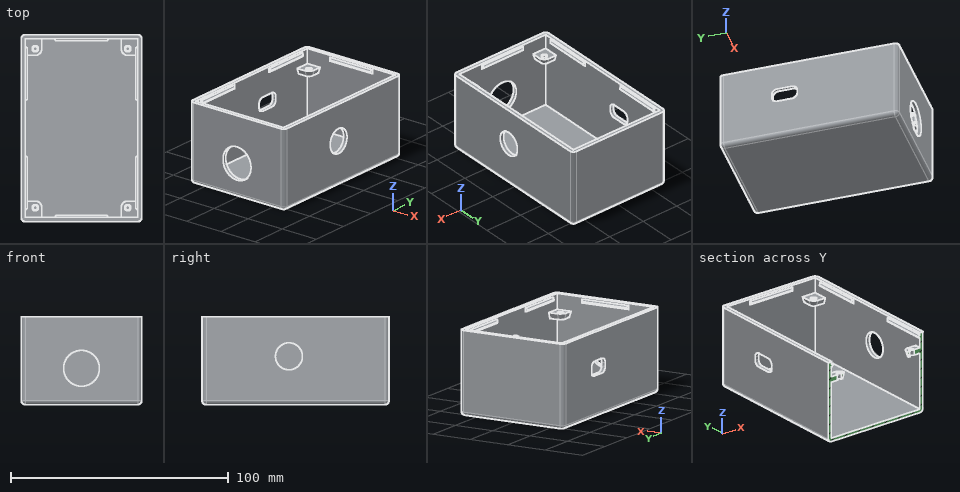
import cadquery as cq

LENGTH_X = 55.5
LENGTH_Y = 86.0
HEIGHT = 40.5
WALL = 2.0
EDGE_RADIUS = 2.0

INNER_X = LENGTH_X - 2 * WALL
INNER_Y = LENGTH_Y - 2 * WALL

RIDGE_LENGTH = 25.0
RIDGE_DEPTH = 0.93
RIDGE_Z = HEIGHT - 1.93
SIDE_RIDGE_Y = 25.1

PAD_SIZE_X = 7.5
PAD_SIZE_Y = 7.55
PAD_THICKNESS = 3.0
PAD_TOP_Z = HEIGHT - 7.5
PAD_CORNER_RADIUS = 3.0
PAD_TAPER = 1.0
SCREW_INSET = 4.5
SCREW_DIAMETER = 2.1
SCREW_CHAMFER = 0.4
COUNTERSINK_DIAMETER = SCREW_DIAMETER + 2 * SCREW_CHAMFER
COUNTERSINK_ANGLE = 90

FRONT_HOLE_DIAMETER = 16.5
FRONT_HOLE_Z = 16.75

SIDE_HOLE_DIAMETER = 12.4
SIDE_HOLE_Y = -3.0
SIDE_HOLE_Z = 22.25

SLOT_LENGTH = 12.2
SLOT_HEIGHT = 6.9
SLOT_RADIUS = 2.6
SLOT_Y = 11.6
SLOT_Z = 23.3


def shell():
    """Box with rounded outer edges and a sharp-cornered cavity."""
    body = cq.Workplane("XY").box(LENGTH_X, LENGTH_Y, HEIGHT, centered=(True, True, False))
    body = body.edges("|Z or <Z").fillet(EDGE_RADIUS)
    cavity = cq.Workplane("XY", origin=(0, 0, WALL)).box(
        INNER_X, INNER_Y, HEIGHT, centered=(True, True, False)
    )
    return body.cut(cavity)


def ridge():
    """Diamond-section bar along X with 45 degree ends; half of it sits inside the wall."""
    half_length = RIDGE_LENGTH / 2
    bar = (
        cq.Workplane("YZ")
        .polyline([(-RIDGE_DEPTH, 0), (0, RIDGE_DEPTH), (RIDGE_DEPTH, 0), (0, -RIDGE_DEPTH)])
        .close()
        .extrude(half_length, both=True)
    )
    plan = (
        cq.Workplane("XY", origin=(0, 0, -RIDGE_DEPTH))
        .polyline(
            [
                (-half_length, RIDGE_DEPTH),
                (-half_length, 0),
                (-half_length + RIDGE_DEPTH, -RIDGE_DEPTH),
                (half_length - RIDGE_DEPTH, -RIDGE_DEPTH),
                (half_length, 0),
                (half_length, RIDGE_DEPTH),
            ]
        )
        .close()
        .extrude(2 * RIDGE_DEPTH)
    )
    return bar.intersect(plan)


def add_ridges(body):
    """One ridge on each end wall and two on each side wall, all pointing inwards."""
    end_ridge = ridge().translate((0, INNER_Y / 2, RIDGE_Z))
    side_ridge = ridge().rotate((0, 0, 0), (0, 0, 1), -90)
    for end_turn in (0, 180):
        body = body.union(end_ridge.rotate((0, 0, 0), (0, 0, 1), end_turn))
        for y in (-SIDE_RIDGE_Y, SIDE_RIDGE_Y):
            placed = side_ridge.translate((INNER_X / 2, y, RIDGE_Z))
            body = body.union(placed.rotate((0, 0, 0), (0, 0, 1), end_turn))
    return body


def pad_outline(inset, z):
    """Wire in the +X +Y inner corner at height z; its two free sides are moved in by inset."""
    wall_x = INNER_X / 2
    wall_y = INNER_Y / 2
    free_x = wall_x - PAD_SIZE_X + inset
    free_y = wall_y - PAD_SIZE_Y + inset
    radius = PAD_CORNER_RADIUS - inset
    return (
        cq.Workplane("XY", origin=(0, 0, z))
        .moveTo(wall_x, wall_y)
        .lineTo(wall_x, free_y)
        .lineTo(free_x + radius, free_y)
        .radiusArc((free_x, free_y + radius), radius)
        .lineTo(free_x, wall_y)
        .close()
        .val()
    )


def screw_pad():
    """Tapered pad for the +X +Y corner with a countersunk through hole."""
    underside = pad_outline(PAD_TAPER, PAD_TOP_Z - PAD_THICKNESS)
    top = pad_outline(0, PAD_TOP_Z)
    pad = cq.Workplane(cq.Solid.makeLoft([underside, top], True))
    screw_x = INNER_X / 2 - SCREW_INSET
    screw_y = INNER_Y / 2 - SCREW_INSET
    return (
        pad.faces(">Z")
        .workplane(origin=(screw_x, screw_y, PAD_TOP_Z))
        .cskHole(SCREW_DIAMETER, COUNTERSINK_DIAMETER, COUNTERSINK_ANGLE)
    )


def add_screw_pads(body):
    """The corner pad and its mirror images."""
    pad = screw_pad()
    pad_pair = pad.union(pad.mirror("YZ"))
    return body.union(pad_pair).union(pad_pair.mirror("XZ"))


def cut_wall_openings(body):
    """Openings through the -Y, +X and -X walls."""
    front_hole = (
        cq.Workplane("XZ", origin=(0, -INNER_Y / 2, FRONT_HOLE_Z))
        .circle(FRONT_HOLE_DIAMETER / 2)
        .extrude(WALL)
    )
    side_hole = (
        cq.Workplane("YZ", origin=(INNER_X / 2, SIDE_HOLE_Y, SIDE_HOLE_Z))
        .circle(SIDE_HOLE_DIAMETER / 2)
        .extrude(WALL)
    )
    slot = (
        cq.Workplane("YZ", origin=(-INNER_X / 2, SLOT_Y, SLOT_Z))
        .rect(SLOT_LENGTH, SLOT_HEIGHT)
        .extrude(-WALL)
        .edges("|X")
        .fillet(SLOT_RADIUS)
    )
    return body.cut(front_hole).cut(side_hole).cut(slot)


result = cut_wall_openings(add_screw_pads(add_ridges(shell())))